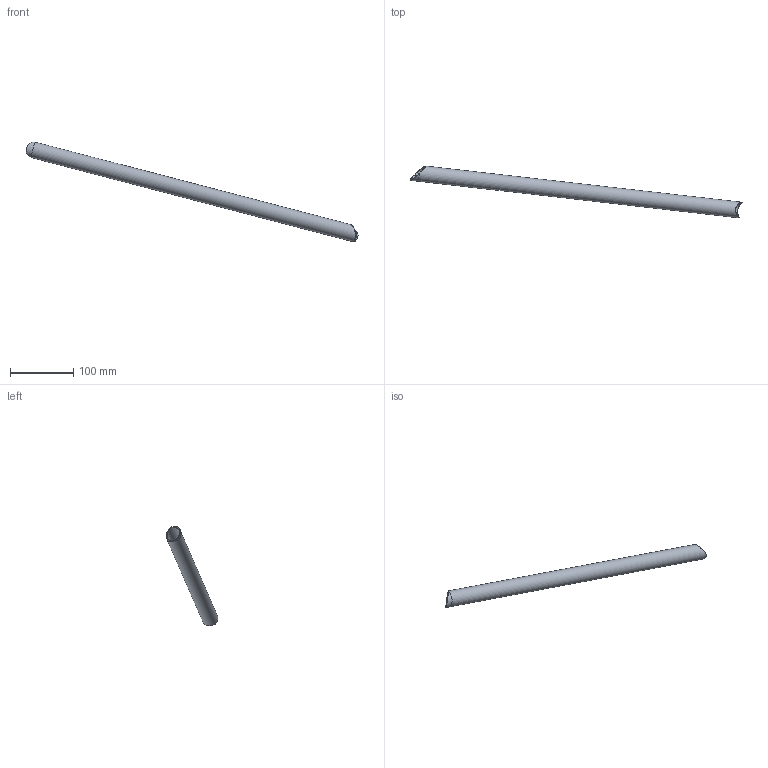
import cadquery as cq

outer_diameter = 25.0
wall = 1.65
inner_diameter = outer_diameter - 2 * wall

run_y_at_origin = 1.68
run_z_at_origin = 1.41
run_y_slope = -0.1137
run_z_slope = -0.2613

bend_start_x = -250.0
bend_radius = 54.0
bend_angle = 50.0
bend_roll = 7.7

cut_x = -249.5
cut_normal = cq.Vector(-1, 1.11, 0.24)

post_diameter = 32.0
post_x = 269.35
post_y_offset = -0.5
post_direction = cq.Vector(-0.13, 0.07, 1)

margin = 60.0

up = cq.Vector(0, 0, 1)
run_direction = cq.Vector(1, run_y_slope, run_z_slope).normalized()


def run_axis_point(x):
    return cq.Vector(x, run_y_at_origin + run_y_slope * x, run_z_at_origin + run_z_slope * x)


def cylinder(start, end, diameter):
    axis = end - start
    return cq.Workplane(cq.Solid.makeCylinder(diameter / 2, axis.Length, start, axis))


def bent_bar(diameter):
    """Round bar up to the post axis, with a downward bend of the same section at its -X end."""
    bend_start = run_axis_point(bend_start_x)
    run = cylinder(bend_start, run_axis_point(post_x), diameter)

    section = cq.Plane(origin=bend_start, xDir=run_direction.cross(up), normal=run_direction * -1)
    section = section.rotated((0, 0, bend_roll))
    bend = (
        cq.Workplane(section)
        .circle(diameter / 2)
        .revolve(bend_angle, (0, -bend_radius), (1, -bend_radius))
    )
    return run.union(bend)


def end_cut():
    """Block that removes everything beyond the slanted flat end."""
    plane = cq.Plane(origin=run_axis_point(cut_x), xDir=cut_normal.cross(up), normal=cut_normal)
    block_side = 4 * margin
    return cq.Workplane(plane).rect(block_side, block_side).extrude(block_side)


def post():
    """The round post whose shape is notched out of the +X end."""
    centre = run_axis_point(post_x) + cq.Vector(0, post_y_offset, 0)
    reach = post_direction.normalized() * margin
    return cylinder(centre - reach, centre + reach, post_diameter)


tube = bent_bar(outer_diameter).cut(bent_bar(inner_diameter))
result = tube.cut(end_cut()).cut(post())